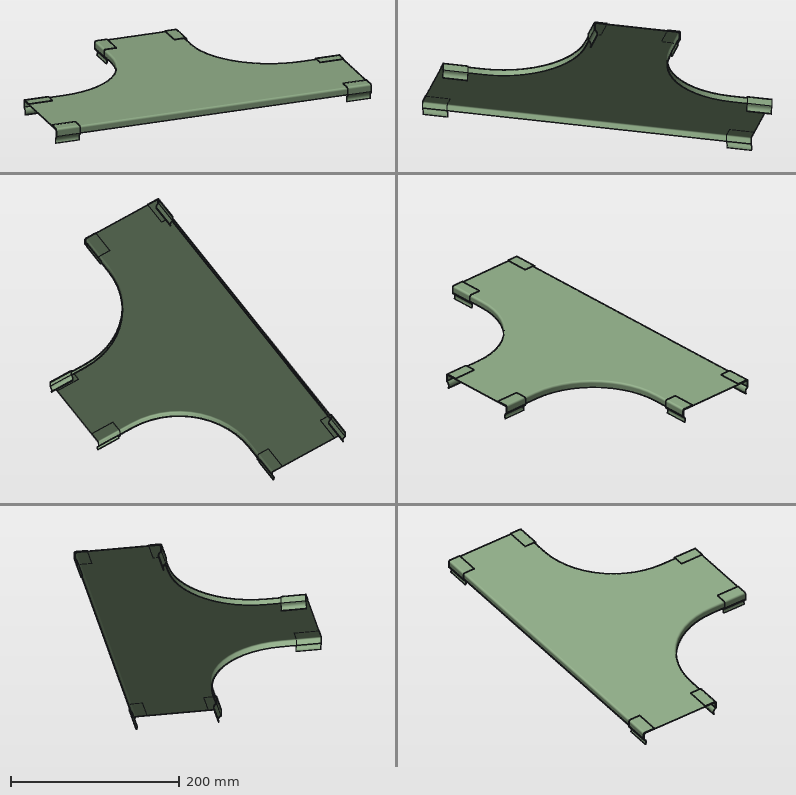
import cadquery as cq
import math


length_x = 253.5
length_y = 402.5
height = 19.5
top_z = height / 2
west_x = -length_x / 2
east_x = length_x / 2
end_y = length_y / 2

sheet = 0.95
bend_radius = 2.6
inner_bend_radius = bend_radius - sheet

clip_span = 106.3
clip_length = 30.0
clip_flange = 16.0
knee_radius = 2.0
hook_radius = 5.2
knee_angle = 60.0
tail_angle = 33.0

tail_drop = (hook_radius + sheet) * math.sin(math.radians(tail_angle))
knee_drop = (hook_radius + knee_radius) * math.sin(math.radians(knee_angle))
knee_z = -top_z + tail_drop + knee_drop

cover_top = top_z - sheet
cover_bottom = knee_z
corner_radius = 99.5
cover_half_width = clip_span / 2 - sheet
main_x = east_x - clip_span / 2
overrun = 4.0


def polar(center, radius, angle):
    """Point on a circle, with the angle in degrees."""
    turn = math.radians(angle)
    return center[0] + radius * math.cos(turn), center[1] + radius * math.sin(turn)


def tee_block(inset, top, edge_radius, extension):
    """Tee-shaped block with its walls moved inwards, its ends moved outwards and a rounded top edge."""
    half_width = cover_half_width - inset
    inner_x = main_x - half_width
    outer_x = main_x + half_width
    radius = corner_radius + inset
    end_x = west_x - extension
    tip_y = end_y + extension
    center_x = inner_x - radius
    center_y = half_width + radius
    north_middle = polar((center_x, center_y), radius, -45)
    south_middle = polar((center_x, -center_y), radius, 45)
    block = (
        cq.Workplane("XY", origin=(0, 0, cover_bottom))
        .moveTo(outer_x, -tip_y)
        .lineTo(outer_x, tip_y)
        .lineTo(inner_x, tip_y)
        .lineTo(inner_x, center_y)
        .threePointArc(north_middle, (center_x, half_width))
        .lineTo(end_x, half_width)
        .lineTo(end_x, -half_width)
        .lineTo(center_x, -half_width)
        .threePointArc(south_middle, (inner_x, -center_y))
        .lineTo(inner_x, -tip_y)
        .close()
        .extrude(top - cover_bottom)
    )
    wall_edges = "not (<X or <Y or >Y)"
    return block.faces(">Z").edges(wall_edges).fillet(edge_radius)


def make_cover():
    """Tee cover: a flat top with walls bent down along its long sides, open at the three ends."""
    outside = tee_block(0, cover_top, bend_radius, 0)
    hollow = tee_block(sheet, cover_top - sheet, inner_bend_radius, overrun)
    return outside.cut(hollow)


def clip_profile():
    """Section of a clip on the left of an arm: top flange, wall, knee and hook."""
    wall_x = -clip_span / 2
    bend_center = (wall_x + bend_radius, top_z - bend_radius)
    bend_middle = 135
    knee_center = (wall_x + knee_radius, knee_z)
    knee_end = 180 + knee_angle
    hook_center = polar(knee_center, knee_radius + hook_radius, knee_end)
    knee_middle = 180 + knee_angle / 2
    hook_middle = (knee_angle - tail_angle) / 2
    inner_knee = knee_radius - sheet
    inner_hook = hook_radius + sheet
    flange_x = wall_x + clip_flange

    return (
        cq.Workplane("XZ")
        .moveTo(flange_x, top_z)
        .lineTo(wall_x + bend_radius, top_z)
        .threePointArc(polar(bend_center, bend_radius, bend_middle), (wall_x, top_z - bend_radius))
        .lineTo(wall_x, knee_z)
        .threePointArc(polar(knee_center, knee_radius, knee_middle), polar(knee_center, knee_radius, knee_end))
        .threePointArc(polar(hook_center, hook_radius, hook_middle), polar(hook_center, hook_radius, -tail_angle))
        .lineTo(*polar(hook_center, inner_hook, -tail_angle))
        .threePointArc(polar(hook_center, inner_hook, hook_middle), polar(hook_center, inner_hook, knee_angle))
        .threePointArc(polar(knee_center, inner_knee, knee_middle), (wall_x + sheet, knee_z))
        .lineTo(wall_x + sheet, top_z - bend_radius)
        .threePointArc(polar(bend_center, inner_bend_radius, bend_middle), (wall_x + bend_radius, cover_top))
        .lineTo(flange_x, cover_top)
        .close()
    )


def make_clip_pair():
    """Two facing clips of an arm that points along +Y and ends at Y = 0."""
    left = clip_profile().extrude(clip_length)
    right = left.mirror("YZ")
    return [left.val(), right.val()]


cover = make_cover()

arm_ends = [
    (main_x, end_y, 0),
    (main_x, -end_y, 180),
    (west_x, 0, 90),
]
clips = []
for arm_x, arm_y, arm_turn in arm_ends:
    place = cq.Location(cq.Vector(arm_x, arm_y, 0), cq.Vector(0, 0, 1), arm_turn)
    for clip in make_clip_pair():
        clips.append(clip.moved(place))

result = cq.Compound.makeCompound([cover.val(), *clips])